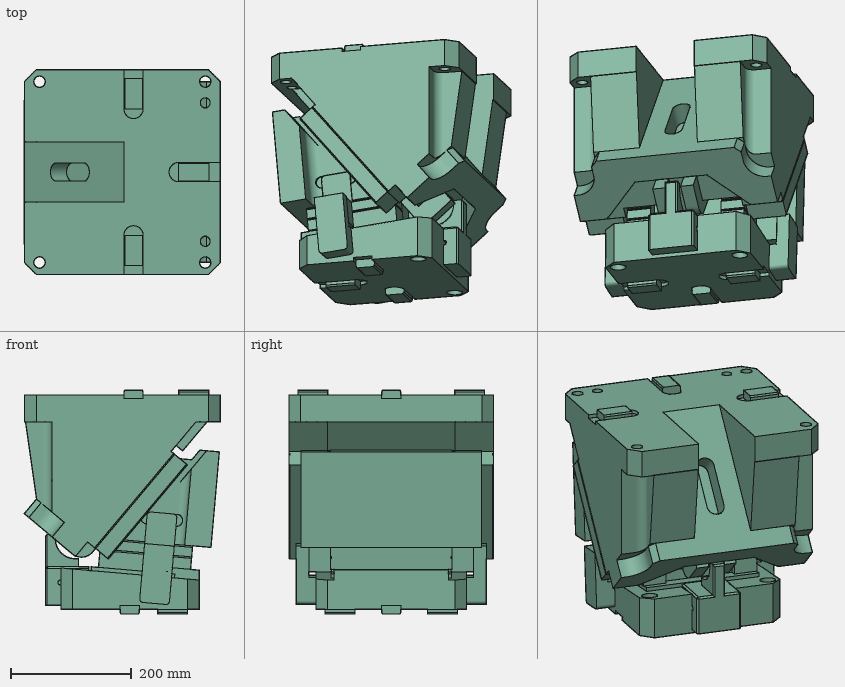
import cadquery as cq
import math

SHUT_HEIGHT = 356.0
KEY_PROJECTION = 8.0
KEY_LENGTH = 50.0
KEY_WIDTH = 32.0
KEY_SLOT_DEPTH = 6.0
KEY_BEVEL = 1.5
KEY_BEVEL_HEIGHT = 3.0

PLATE_LENGTH = 325.0
PLATE_HALF_WIDTH = 170.0
PLATE_THICKNESS = 45.0
CORNER_CHAMFER = 19.6
PLATE_HOLE_INSET = 25.0
PLATE_HOLE_HALF_PITCH = 150.0
PLATE_HOLE_DIAMETER = 18.5
DOWEL_HALF_PITCH = 115.0
DOWEL_DIAMETER = 16.5
UPPER_KEY_X = 181.0
UPPER_SIDE_KEY_GAP = 15.0
UPPER_REAR_KEY_GAP = 19.0

CAM_ANGLE = 40.0
SLAB_TIP_X = -0.41
POCKET_TOP_X = 165.0
SLAB_THICKNESS = 31.6
SLAB_LENGTH = 110.8
FRONT_FACE_TOP_X = 1.6
CAM_FACE_U = 128.0
CAM_FACE_END_V = 236.0
UPPER_FACE_U = 120.5
POCKET_HALF_WIDTH = 50.0
SLOT_WIDTH = 30.0
SLOT_LENGTH = 100.5
SLOT_DEPTH = 35.0
SLOT_CENTRE_V = 118.0
CORNER_NOTCH_X = 46.0
CORNER_NOTCH_Y = 129.0
CORNER_NOTCH_FILLET = 15.0
SCALLOP_CHAMFER = 10.0
SCALLOP_STRAIGHT = 26.5
SCALLOP_RADIUS = 34.0
APRON_NOTCH_U = 46.6
APRON_NOTCH_TOP_HALF = 62.0
APRON_NOTCH_END_HALF = 124.0
LUG_INNER_Y = 13.0
LUG_OUTER_Y = 35.0
LUG_START_U = 63.0
LUG_NOSE_RADIUS = 24.0
RAIL_INNER_Y = 106.0
RAIL_OUTER_U = 155.5
RAIL_START_V = 32.0
RAIL_GROOVE = 2.0
RAIL_CHAMFER = 2.0
TONGUE_HALF_WIDTH = 35.0
STOP_PAD_U = 134.6
STOP_PAD_V = 248.6

GUIDE_ANGLE = 5.0
BASE_FRONT_X = 60.3
BASE_FRONT_HEIGHT = 68.7
SLIDE_HALF_WIDTH = 101.0
SLIDE_FRONT_S = 62.0
SLIDE_RECESS_HALF_WIDTH = 61.0
SLIDE_RECESS_S = 85.0
SLIDE_SILL_S = 74.0
SLIDE_SILL_OUTER_T = 17.4
SLIDE_SILL_INNER_T = 23.8
SLIDE_REAR_S = 215.0
SLIDE_REAR_STEP_S = 150.0
SLIDE_SHELF_T = 198.0
SLIDE_BLOCK_HALF_WIDTH = 150.0
SLIDE_BLOCK_FRONT_S = 201.5
SLIDE_BLOCK_REAR_S = 245.5
SLIDE_BLOCK_BOTTOM_T = 55.5
SLIDE_BLOCK_TOP_T = 215.0
SLIDE_BLOCK_FACE_U = 164.8
SLIDE_BLOCK_FILLET = 16.0
SLIDE_GROOVE_BOTTOMS = (34.7, 53.0)
SLIDE_GROOVE_HEIGHT = 2.5
SLIDE_GROOVE_DEPTH = 2.0

KEEPER_START_S = 135.0
KEEPER_END_S = 184.5
KEEPER_BOTTOM_T = -45.2
KEEPER_TOP_T = 105.5
KEEPER_CORNER = 6.0
KEEPER_OUTER_Y = 158.0
KEEPER_UPPER_Y = 103.0
KEEPER_ARCH_T = 9.5
KEEPER_NECK_INSET = 2.0
KEEPER_STEP_Y = 136.5
KEEPER_SHOULDER_T = 52.5
KEEPER_RELIEF_RADIUS = 10.0
KEEPER_RELIEF_DEPTH = 2.0

BASE_LENGTH = 230.0
BASE_HALF_WIDTH = 125.0
BASE_HOLE_INSET_X = 24.0
BASE_HOLE_HALF_PITCH = 105.0
BASE_HOLE_DIAMETER = 26.0
GUIDE_PAD_FRONT_X = 110.5
GUIDE_PAD_HALF_WIDTH = 100.0
GUIDE_PAD_T = 6.5
GUIDE_PAD_REAR_S = 189.5
REAR_PAD_S = 180.0
REAR_PAD_HALF_WIDTH = 95.0
REAR_PAD_T = 16.5
BASE_KEY_X = 174.8
BASE_SIDE_KEY_GAP = 15.0
BASE_REAR_KEY_GAP = 19.5
NOSE_FRONT_X = 34.8
NOSE_REAR_X = 107.0
NOSE_HALF_WIDTH = 39.0
NOSE_BOTTOM = 6.5
NOSE_TOP = 71.0
NOSE_CHAMFER = 3.0
NOSE_HOLE_DIAMETER = 8.0
NOSE_HOLE_X = 59.5
NOSE_HOLE_Z = 44.5
RIB_REAR_X = 90.0
RIB_HALF_WIDTH = 10.5
RIB_TOP = 124.5
RIB_CHAMFER = 2.5
RIB_VALLEY_Z = 84.2
RIB_SWEEP_RADIUS = 33.0
RIB_FRONT_LAND = 16.5

FAR = 600.0

PLATE_BOTTOM = SHUT_HEIGHT - PLATE_THICKNESS
CAM_COS = math.cos(math.radians(CAM_ANGLE))
CAM_SIN = math.sin(math.radians(CAM_ANGLE))
GUIDE_COS = math.cos(math.radians(GUIDE_ANGLE))
GUIDE_SIN = math.sin(math.radians(GUIDE_ANGLE))
SLAB_TIP_Z = SHUT_HEIGHT - (POCKET_TOP_X - SLAB_TIP_X) * CAM_COS / CAM_SIN
BASE_REAR_X = BASE_FRONT_X + BASE_LENGTH
CAM_ORIGIN = (SLAB_TIP_X, 0, SLAB_TIP_Z)
CAM_U = (CAM_COS, 0, -CAM_SIN)
CAM_V = (CAM_SIN, 0, CAM_COS)
GUIDE_ORIGIN = (BASE_FRONT_X, 0, BASE_FRONT_HEIGHT)
GUIDE_S = (GUIDE_COS, 0, -GUIDE_SIN)
GUIDE_T = (GUIDE_SIN, 0, GUIDE_COS)
SIDEWAYS = (0, -1, 0)

CAM_SIDE = cq.Plane(CAM_ORIGIN, CAM_U, SIDEWAYS)
CAM_PLAN = cq.Plane(CAM_ORIGIN, CAM_U, CAM_V)
GUIDE_SIDE = cq.Plane(GUIDE_ORIGIN, GUIDE_S, SIDEWAYS)
GUIDE_CROSS = cq.Plane(GUIDE_ORIGIN, (0, 1, 0), GUIDE_S)
GUIDE_PLAN = cq.Plane(GUIDE_ORIGIN, GUIDE_S, GUIDE_T)


def cam_point(u, v):
    """X, Z of a point given in the cam frame."""
    return (SLAB_TIP_X + u * CAM_COS + v * CAM_SIN, SLAB_TIP_Z - u * CAM_SIN + v * CAM_COS)


def cam_point_3d(u, v):
    """Point on the centre plane given in the cam frame."""
    x, z = cam_point(u, v)
    return (x, 0, z)


def cam_point_at_height(u, z):
    """X, Z of the point at height z on the cam-frame line of constant u."""
    return cam_point(u, (z - SLAB_TIP_Z + u * CAM_SIN) / CAM_COS)


def bar(plane, x_range, y_range, half_width):
    """Rectangle on a side plane, extruded evenly to both sides of the centre plane."""
    x0, x1 = x_range
    y0, y1 = y_range
    outline = cq.Workplane(plane).moveTo(x0, y0).lineTo(x1, y0).lineTo(x1, y1).lineTo(x0, y1).close()
    return outline.extrude(half_width, both=True)


def side_bars(plane, x_range, y_range, inner_y, outer_y):
    """Matching rectangular bars on both sides, between two distances from the centre plane."""
    outer = bar(plane, x_range, y_range, outer_y)
    return outer.cut(bar(plane, x_range, y_range, inner_y))


def both_sides(shape):
    return shape.union(shape.mirror("XZ"))


def locating_key(end_gap):
    """Key with bevelled long sides, lying along +X from the origin, its slot floor at Z = 0."""
    top = KEY_SLOT_DEPTH + KEY_PROJECTION
    half = KEY_WIDTH / 2
    return (
        cq.Workplane("YZ", origin=(end_gap, 0, 0))
        .moveTo(-half, 0)
        .lineTo(half, 0)
        .lineTo(half, top - KEY_BEVEL_HEIGHT)
        .lineTo(half - KEY_BEVEL, top)
        .lineTo(KEY_BEVEL - half, top)
        .lineTo(-half, top - KEY_BEVEL_HEIGHT)
        .close()
        .extrude(KEY_LENGTH)
    )


def key_slot(end_gap):
    """Open-ended slot with a round inner end tangent to the key's inner end."""
    straight = end_gap + KEY_LENGTH
    half = KEY_WIDTH / 2
    return (
        cq.Workplane("XY")
        .moveTo(0, -half)
        .lineTo(straight, -half)
        .threePointArc((straight + half, 0), (straight, half))
        .lineTo(0, half)
        .close()
        .extrude(KEY_SLOT_DEPTH)
    )


def fit_keys(body, key_x, half_width, rear_x, side_gap, rear_gap, place):
    """Cut three key slots into a body and add their keys; place() sets them on the mounting face."""
    edges = (
        (90, (key_x, -half_width, 0), side_gap),
        (-90, (key_x, half_width, 0), side_gap),
        (180, (rear_x, 0, 0), rear_gap),
    )
    for angle, edge, gap in edges:
        for piece, is_slot in ((key_slot(gap), True), (locating_key(gap), False)):
            placed = place(piece.rotate((0, 0, 0), (0, 0, 1), angle).translate(edge))
            body = body.cut(placed) if is_slot else body.union(placed)
    return body


def upper_wedge():
    plate = (
        cq.Workplane("XY", origin=(PLATE_LENGTH / 2, 0, PLATE_BOTTOM))
        .rect(PLATE_LENGTH, 2 * PLATE_HALF_WIDTH)
        .extrude(PLATE_THICKNESS)
        .edges("|Z")
        .chamfer(CORNER_CHAMFER)
    )
    outline = [
        (FRONT_FACE_TOP_X, PLATE_BOTTOM),
        cam_point(0, SLAB_THICKNESS),
        cam_point(0, 0),
        cam_point(SLAB_LENGTH, 0),
        cam_point(SLAB_LENGTH, SLAB_THICKNESS),
        cam_point(CAM_FACE_U, SLAB_THICKNESS),
        cam_point(CAM_FACE_U, CAM_FACE_END_V),
        cam_point(UPPER_FACE_U, CAM_FACE_END_V),
        cam_point_at_height(UPPER_FACE_U, PLATE_BOTTOM),
    ]
    wedge = cq.Workplane("XZ").polyline(outline).close().extrude(PLATE_HALF_WIDTH, both=True)
    stop_pad = (
        cq.Workplane("XZ")
        .polyline([
            cam_point(UPPER_FACE_U, STOP_PAD_V),
            cam_point(STOP_PAD_U, STOP_PAD_V),
            cam_point_at_height(STOP_PAD_U, PLATE_BOTTOM),
            cam_point_at_height(UPPER_FACE_U, PLATE_BOTTOM),
        ])
        .close()
        .extrude(RAIL_INNER_Y, both=True)
    )
    return plate.union(wedge).union(stop_pad)


def upper_pocket():
    """Open pocket whose floor carries on the sloping end face of the slab."""
    return (
        cq.Workplane("XZ")
        .polyline([
            cam_point(0, 0),
            (POCKET_TOP_X, SHUT_HEIGHT),
            (SLAB_TIP_X, SHUT_HEIGHT),
        ])
        .close()
        .extrude(POCKET_HALF_WIDTH, both=True)
    )


def pocket_slot():
    floor = cq.Plane(cam_point_3d(0, SLOT_CENTRE_V), CAM_V, CAM_U)
    return cq.Workplane(floor).slot2D(SLOT_LENGTH, SLOT_WIDTH).extrude(SLOT_DEPTH)


def corner_notches():
    """Bolt clearance in both front corners, from the plate down to the top of the slab."""
    column = (
        cq.Workplane("XY")
        .rect(2 * CORNER_NOTCH_X, 2 * (PLATE_HALF_WIDTH - CORNER_NOTCH_Y))
        .extrude(PLATE_BOTTOM)
        .edges("|Z")
        .fillet(CORNER_NOTCH_FILLET)
        .translate((0, PLATE_HALF_WIDTH, 0))
    )
    above_slab = bar(CAM_SIDE, (-FAR, FAR), (SLAB_THICKNESS, FAR), FAR)
    return both_sides(column.intersect(above_slab))


def slab_scallops():
    """Chamfered, round-ended bites out of both front corners of the slab."""
    y0 = CORNER_NOTCH_Y
    y1 = y0 + SCALLOP_RADIUS
    end_u = SCALLOP_STRAIGHT + SCALLOP_RADIUS
    mid_offset = SCALLOP_RADIUS * math.sqrt(0.5)
    bite = (
        cq.Workplane(CAM_PLAN)
        .moveTo(0, y0 - SCALLOP_CHAMFER)
        .lineTo(SCALLOP_CHAMFER, y0)
        .lineTo(SCALLOP_STRAIGHT, y0)
        .threePointArc((SCALLOP_STRAIGHT + mid_offset, y1 - mid_offset), (end_u, y1))
        .lineTo(end_u, PLATE_HALF_WIDTH)
        .lineTo(0, PLATE_HALF_WIDTH)
        .close()
        .extrude(SLAB_THICKNESS)
    )
    return both_sides(bite)


def apron_notch():
    """Trapezoid opening in the lower end of the slab."""
    return (
        cq.Workplane(CAM_PLAN)
        .polyline([
            (APRON_NOTCH_U, -APRON_NOTCH_TOP_HALF),
            (APRON_NOTCH_U, APRON_NOTCH_TOP_HALF),
            (SLAB_LENGTH, APRON_NOTCH_END_HALF),
            (SLAB_LENGTH, -APRON_NOTCH_END_HALF),
        ])
        .close()
        .extrude(SLAB_THICKNESS)
    )


def nose_lugs():
    """Two round-nosed lugs under the wedge, one on each side of the base rib."""
    centre_u = CAM_FACE_U - LUG_NOSE_RADIUS
    mid_offset = LUG_NOSE_RADIUS * math.sqrt(0.5)
    profile = (
        cq.Workplane(CAM_SIDE)
        .moveTo(LUG_START_U, 0)
        .lineTo(centre_u, 0)
        .threePointArc((centre_u + mid_offset, LUG_NOSE_RADIUS - mid_offset), (CAM_FACE_U, LUG_NOSE_RADIUS))
        .lineTo(CAM_FACE_U, SLAB_THICKNESS)
        .lineTo(LUG_START_U, SLAB_THICKNESS)
        .close()
    )
    gap = bar(CAM_SIDE, (-FAR, FAR), (-FAR, FAR), LUG_INNER_Y)
    return profile.extrude(LUG_OUTER_Y, both=True).cut(gap)


def plate_holes():
    front_x = PLATE_HOLE_INSET
    rear_x = PLATE_LENGTH - PLATE_HOLE_INSET
    bolts = [(x, y) for x in (front_x, rear_x) for y in (-PLATE_HOLE_HALF_PITCH, PLATE_HOLE_HALF_PITCH)]
    dowels = [(rear_x, y) for y in (-DOWEL_HALF_PITCH, DOWEL_HALF_PITCH)]
    sheet = cq.Workplane("XY", origin=(0, 0, PLATE_BOTTOM))
    bolt_holes = sheet.pushPoints(bolts).circle(PLATE_HOLE_DIAMETER / 2).extrude(PLATE_THICKNESS)
    dowel_holes = sheet.pushPoints(dowels).circle(DOWEL_DIAMETER / 2).extrude(PLATE_THICKNESS)
    return bolt_holes.union(dowel_holes)


def cam_steps():
    """Stepped-back cam faces on both sides of the central tongue, flush with the end of the slab."""
    depth = (SLAB_LENGTH, CAM_FACE_U)
    length = (0, CAM_FACE_END_V)
    return side_bars(CAM_SIDE, depth, length, TONGUE_HALF_WIDTH, SLIDE_HALF_WIDTH)


def rails():
    """Rails along both sides of the cam face, with chamfered outer edges."""
    rail_length = (RAIL_START_V, CAM_FACE_END_V)
    beam = bar(CAM_SIDE, (CAM_FACE_U, RAIL_OUTER_U), rail_length, PLATE_HALF_WIDTH)
    outer_face = cq.selectors.DirectionMinMaxSelector(cq.Vector(*CAM_U), True)
    beam = beam.faces(outer_face).edges("<Y or >Y").chamfer(RAIL_CHAMFER)
    return beam.cut(bar(CAM_SIDE, (-FAR, FAR), (-FAR, FAR), RAIL_INNER_Y))


def rail_grooves():
    """Shallow grooves in the flanks where the rails join the wedge."""
    rail_length = (RAIL_START_V, CAM_FACE_END_V)
    groove_inner = PLATE_HALF_WIDTH - RAIL_GROOVE
    groove_u = (CAM_FACE_U - RAIL_GROOVE, CAM_FACE_U)
    return side_bars(CAM_SIDE, groove_u, rail_length, groove_inner, PLATE_HALF_WIDTH)


def make_upper():
    body = upper_wedge().cut(upper_pocket()).cut(pocket_slot())
    body = body.cut(corner_notches()).cut(slab_scallops()).cut(apron_notch())
    body = body.cut(cam_steps()).union(nose_lugs()).union(rails()).cut(rail_grooves()).cut(plate_holes())

    def on_top(piece):
        return piece.translate((0, 0, SHUT_HEIGHT - KEY_SLOT_DEPTH))

    return fit_keys(
        body, UPPER_KEY_X, PLATE_HALF_WIDTH, PLATE_LENGTH, UPPER_SIDE_KEY_GAP, UPPER_REAR_KEY_GAP, on_top
    )


def slide_block():
    """Tool block across the rear, blended into the narrower slide by concave fillets."""
    neck_s = SLIDE_BLOCK_FRONT_S - SLIDE_BLOCK_FILLET
    wall_y = SLIDE_HALF_WIDTH + SLIDE_BLOCK_FILLET
    mid_offset = SLIDE_BLOCK_FILLET * math.sqrt(0.5)
    mid_s = neck_s + mid_offset
    mid_y = wall_y - mid_offset
    return (
        cq.Workplane(GUIDE_PLAN)
        .workplane(offset=SLIDE_BLOCK_BOTTOM_T)
        .moveTo(neck_s, -SLIDE_HALF_WIDTH)
        .lineTo(neck_s, SLIDE_HALF_WIDTH)
        .threePointArc((mid_s, mid_y), (SLIDE_BLOCK_FRONT_S, wall_y))
        .lineTo(SLIDE_BLOCK_FRONT_S, SLIDE_BLOCK_HALF_WIDTH)
        .lineTo(SLIDE_BLOCK_REAR_S, SLIDE_BLOCK_HALF_WIDTH)
        .lineTo(SLIDE_BLOCK_REAR_S, -SLIDE_BLOCK_HALF_WIDTH)
        .lineTo(SLIDE_BLOCK_FRONT_S, -SLIDE_BLOCK_HALF_WIDTH)
        .lineTo(SLIDE_BLOCK_FRONT_S, -wall_y)
        .threePointArc((mid_s, -mid_y), (neck_s, -SLIDE_HALF_WIDTH))
        .close()
        .extrude(SLIDE_BLOCK_TOP_T - SLIDE_BLOCK_BOTTOM_T)
    )


def slide_body():
    height = (GUIDE_PAD_T, SLIDE_SHELF_T)
    core_length = (SLIDE_FRONT_S, SLIDE_BLOCK_FRONT_S)
    core = bar(GUIDE_SIDE, core_length, height, SLIDE_HALF_WIDTH)
    tail_height = (GUIDE_PAD_T, SLIDE_BLOCK_BOTTOM_T)
    tail = bar(GUIDE_SIDE, (SLIDE_BLOCK_FRONT_S, SLIDE_REAR_S), tail_height, SLIDE_HALF_WIDTH)
    return core.union(tail).union(slide_block())


def deep_front_recess():
    """Deep part of the front recess, above a sill that slopes down towards both sides."""
    return (
        cq.Workplane(GUIDE_CROSS)
        .polyline([
            (-SLIDE_RECESS_HALF_WIDTH, FAR),
            (-SLIDE_RECESS_HALF_WIDTH, SLIDE_SILL_OUTER_T),
            (-TONGUE_HALF_WIDTH, SLIDE_SILL_INNER_T),
            (TONGUE_HALF_WIDTH, SLIDE_SILL_INNER_T),
            (SLIDE_RECESS_HALF_WIDTH, SLIDE_SILL_OUTER_T),
            (SLIDE_RECESS_HALF_WIDTH, FAR),
        ])
        .close()
        .extrude(SLIDE_RECESS_S)
    )


def slide_clearances():
    """Everything taken off the slide to leave its cam faces and guide faces."""
    everything = (-FAR, FAR)
    cam_face = bar(CAM_SIDE, (-FAR, SLAB_LENGTH), everything, FAR)
    tongue_groove = bar(CAM_SIDE, (-FAR, CAM_FACE_U), everything, TONGUE_HALF_WIDTH)
    above_shelf = bar(GUIDE_SIDE, everything, (SLIDE_SHELF_T, FAR), FAR)
    block_face = bar(CAM_SIDE, (-FAR, RAIL_OUTER_U), everything, FAR).intersect(above_shelf)
    block_bevels = side_bars(CAM_SIDE, (-FAR, SLIDE_BLOCK_FACE_U), everything, SLIDE_HALF_WIDTH, FAR)
    front_recess = bar(GUIDE_SIDE, (0, SLIDE_SILL_S), everything, SLIDE_RECESS_HALF_WIDTH)
    rear_step = bar(GUIDE_SIDE, (SLIDE_REAR_STEP_S, FAR), (0, REAR_PAD_T), FAR)
    return [cam_face, tongue_groove, block_face, block_bevels, front_recess, deep_front_recess(), rear_step]


def slide_grooves():
    """Shallow grooves along the slide's flanks and across its front."""
    grooves = []
    for bottom in SLIDE_GROOVE_BOTTOMS:
        height = (bottom, bottom + SLIDE_GROOVE_HEIGHT)
        inner_y = SLIDE_HALF_WIDTH - SLIDE_GROOVE_DEPTH
        grooves.append(side_bars(GUIDE_SIDE, (0, SLIDE_REAR_S), height, inner_y, SLIDE_HALF_WIDTH))
        front = (SLIDE_FRONT_S, SLIDE_FRONT_S + SLIDE_GROOVE_DEPTH)
        grooves.append(bar(GUIDE_SIDE, front, height, SLIDE_HALF_WIDTH))
    return grooves


def keeper_reliefs():
    """Round corner reliefs beside both upper corners of each keeper."""
    relief = (
        cq.Workplane(GUIDE_SIDE)
        .pushPoints([(s, KEEPER_TOP_T - KEEPER_RELIEF_RADIUS) for s in (KEEPER_START_S, KEEPER_END_S)])
        .circle(KEEPER_RELIEF_RADIUS)
        .extrude(SLIDE_BLOCK_HALF_WIDTH, both=True)
    )
    return relief.cut(bar(GUIDE_SIDE, (-FAR, FAR), (-FAR, FAR), SLIDE_HALF_WIDTH - KEEPER_RELIEF_DEPTH))


def keepers():
    """Rounded plates beside the base, each let into the slide by its upper part and a recessed neck."""
    length = (KEEPER_START_S, KEEPER_END_S)
    inner_y = SLIDE_HALF_WIDTH - KEEPER_RELIEF_DEPTH
    outline = (
        bar(GUIDE_SIDE, length, (KEEPER_BOTTOM_T, KEEPER_TOP_T), KEEPER_OUTER_Y)
        .edges("|Y")
        .fillet(KEEPER_CORNER)
    )
    upper = side_bars(GUIDE_SIDE, length, (KEEPER_SHOULDER_T, KEEPER_TOP_T), inner_y, KEEPER_UPPER_Y)
    neck_length = (KEEPER_START_S + KEEPER_NECK_INSET, KEEPER_END_S - KEEPER_NECK_INSET)
    neck = side_bars(GUIDE_SIDE, neck_length, (KEEPER_ARCH_T, KEEPER_SHOULDER_T), inner_y, KEEPER_STEP_Y)
    plate = side_bars(GUIDE_SIDE, length, (0, KEEPER_SHOULDER_T), KEEPER_STEP_Y, KEEPER_OUTER_Y)
    foot = side_bars(GUIDE_SIDE, length, (KEEPER_BOTTOM_T, 0), BASE_HALF_WIDTH, KEEPER_OUTER_Y)
    return upper.union(neck).union(plate).union(foot).intersect(outline)


def make_slide():
    body = slide_body()
    for cutter in slide_clearances() + slide_grooves():
        body = body.cut(cutter)
    return body.cut(keeper_reliefs()).union(keepers())


def base_top(x):
    """Height of the sloping top of the base."""
    return BASE_FRONT_HEIGHT - (x - BASE_FRONT_X) * GUIDE_SIN / GUIDE_COS


def base_block():
    block = (
        cq.Workplane("XZ")
        .polyline([
            (BASE_FRONT_X, 0),
            (BASE_REAR_X, 0),
            (BASE_REAR_X, base_top(BASE_REAR_X)),
            (BASE_FRONT_X, BASE_FRONT_HEIGHT),
        ])
        .close()
        .extrude(BASE_HALF_WIDTH, both=True)
        .edges("|Z")
        .chamfer(CORNER_CHAMFER)
    )
    inside_base = bar(cq.Plane.XZ(), (GUIDE_PAD_FRONT_X, BASE_REAR_X), (0, FAR), BASE_HALF_WIDTH)
    guide_pad = bar(GUIDE_SIDE, (0, GUIDE_PAD_REAR_S), (-GUIDE_PAD_T, GUIDE_PAD_T), GUIDE_PAD_HALF_WIDTH)
    rear_pad_length = (REAR_PAD_S, BASE_LENGTH + REAR_PAD_T)
    rear_pad = bar(GUIDE_SIDE, rear_pad_length, (-GUIDE_PAD_T, REAR_PAD_T), REAR_PAD_HALF_WIDTH)
    hole_x = BASE_FRONT_X + BASE_HOLE_INSET_X
    holes = (
        cq.Workplane("XY")
        .pushPoints([(hole_x, -BASE_HOLE_HALF_PITCH), (hole_x, BASE_HOLE_HALF_PITCH)])
        .circle(BASE_HOLE_DIAMETER / 2)
        .extrude(FAR)
    )
    return block.union(guide_pad.union(rear_pad).intersect(inside_base)).cut(holes)


def base_nose():
    """Chamfered block through the front of the base."""
    nose = bar(cq.Plane.XZ(), (NOSE_FRONT_X, NOSE_REAR_X), (NOSE_BOTTOM, NOSE_TOP), NOSE_HALF_WIDTH)
    nose = nose.edges("|Z and <X").chamfer(NOSE_CHAMFER).faces(">Z").edges("not >X").chamfer(NOSE_CHAMFER)
    hole = (
        cq.Workplane("XZ")
        .center(NOSE_HOLE_X, NOSE_HOLE_Z)
        .circle(NOSE_HOLE_DIAMETER / 2)
        .extrude(NOSE_HALF_WIDTH, both=True)
    )
    return nose.cut(hole)


def base_rib():
    """Upright rib on the nose, swept down to the rear by a quarter circle."""
    land_x = NOSE_FRONT_X + RIB_FRONT_LAND
    centre_x = land_x + RIB_SWEEP_RADIUS
    centre_z = RIB_VALLEY_Z + RIB_SWEEP_RADIUS
    mid_offset = RIB_SWEEP_RADIUS * math.sqrt(0.5)
    rib = (
        cq.Workplane("XZ")
        .moveTo(NOSE_FRONT_X, NOSE_BOTTOM)
        .lineTo(NOSE_FRONT_X, RIB_TOP - NOSE_CHAMFER)
        .lineTo(NOSE_FRONT_X + NOSE_CHAMFER, RIB_TOP)
        .lineTo(land_x, RIB_TOP)
        .lineTo(land_x, centre_z)
        .threePointArc((centre_x - mid_offset, centre_z - mid_offset), (centre_x, RIB_VALLEY_Z))
        .lineTo(RIB_REAR_X, RIB_VALLEY_Z)
        .lineTo(RIB_REAR_X, NOSE_BOTTOM)
        .close()
        .extrude(RIB_HALF_WIDTH, both=True)
    )
    return rib.edges("|Z and <X").chamfer(RIB_CHAMFER)


def make_base():
    body = base_block().union(base_nose()).union(base_rib())

    def on_underside(piece):
        return piece.mirror("XY").translate((0, 0, KEY_SLOT_DEPTH))

    return fit_keys(
        body, BASE_KEY_X, BASE_HALF_WIDTH, BASE_REAR_X, BASE_SIDE_KEY_GAP, BASE_REAR_KEY_GAP, on_underside
    )


upper_cam = make_upper()
slide = make_slide()
base = make_base()

bodies = [body.solids().val() for body in (upper_cam, slide, base)]
result = cq.Compound.makeCompound(bodies)